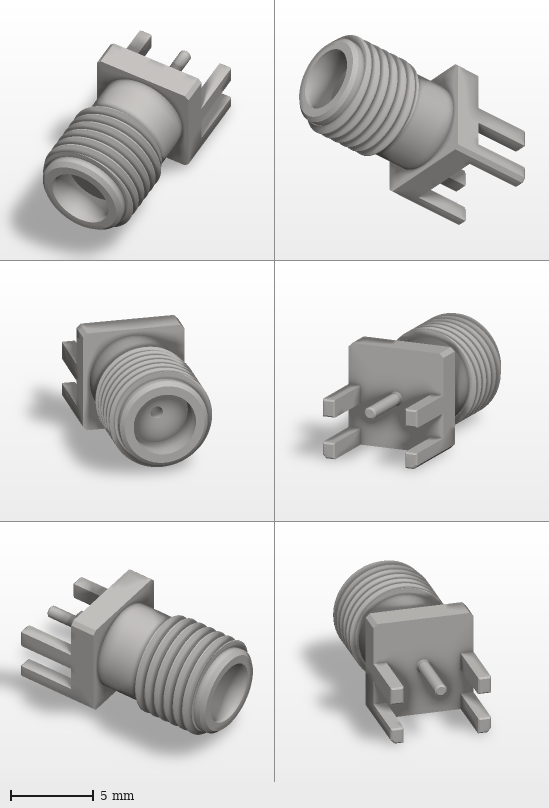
import cadquery as cq


FLANGE_SIDE = 6.35
FLANGE_THICKNESS = 1.66
FLANGE_CORNER_CHAMFER = 0.25
LEG_LENGTH = 3.81
LEG_WIDTH = 0.82
UPPER_LEG_HEIGHT = 1.1
LOWER_LEG_HEIGHT = 1.02
TIP_CHAMFER = 0.1

OVERALL_LENGTH = 13.33
BARREL_LENGTH = OVERALL_LENGTH - LEG_LENGTH
BARREL_DIAMETER = 5.5
RIM_CHAMFER = 0.25
BORE_DIAMETER = 3.9

THREAD_DIAMETER = FLANGE_SIDE
THREAD_PITCH = 0.7
THREAD_TURNS = 6
THREAD_OVERRUN_TURNS = 1
QUARTER_TURN = 0.25
THREAD_LENGTH = THREAD_TURNS * THREAD_PITCH
THREAD_TO_RIM = 0.7
THREAD_START = BARREL_LENGTH - THREAD_TO_RIM - THREAD_LENGTH
THREAD_FLAT = 0.07
THREAD_EMBED = 0.03

INSULATOR_RECESS = 2.05
CONTACT_DIAMETER = 1.4
TAIL_DIAMETER = 0.76
SOCKET_DIAMETER = 0.76
SOCKET_DEPTH = 2.5
TAPER_LENGTH = 0.5
TAPER_OVERHANG = 0.11
INSULATOR_LENGTH = BARREL_LENGTH - INSULATOR_RECESS


def to_connector_axis(body):
    """Turn a body built along +Z so that it runs along -Y."""
    return body.rotate((0, 0, 0), (1, 0, 0), 90)


def make_flange():
    flange = cq.Workplane("XY").rect(FLANGE_SIDE, FLANGE_SIDE).extrude(FLANGE_THICKNESS)
    return flange.edges("|Z").chamfer(FLANGE_CORNER_CHAMFER)


def make_leg(side, center_height, leg_height):
    """One leg behind the flange; side is -1 or +1 along X."""
    center_x = side * (FLANGE_SIDE - LEG_WIDTH) / 2
    leg = (
        cq.Workplane("XY")
        .center(center_x, center_height)
        .rect(LEG_WIDTH, leg_height)
        .extrude(-LEG_LENGTH)
    )
    if center_height < 0:
        outer_corner = cq.selectors.NearestToPointSelector(
            (side * FLANGE_SIDE / 2, -FLANGE_SIDE / 2, -LEG_LENGTH / 2)
        )
        leg = leg.edges(outer_corner).chamfer(FLANGE_CORNER_CHAMFER)
    return leg.faces("<Z").edges().chamfer(TIP_CHAMFER)


def make_barrel():
    barrel = cq.Workplane("XY").circle(BARREL_DIAMETER / 2).extrude(BARREL_LENGTH)
    return barrel.faces(">Z").edges().chamfer(RIM_CHAMFER)


def make_thread():
    """Helical ridge, cut off square at both ends; its crest meets both end planes at the top."""
    root_radius = BARREL_DIAMETER / 2
    crest_radius = THREAD_DIAMETER / 2
    inner_radius = root_radius - THREAD_EMBED
    half_crest = THREAD_FLAT / 2
    half_root = (THREAD_PITCH - THREAD_FLAT) / 2
    flank_run = (half_root - half_crest) / (crest_radius - root_radius)
    half_base = half_root + flank_run * THREAD_EMBED

    helix_start = THREAD_START - (THREAD_OVERRUN_TURNS + QUARTER_TURN) * THREAD_PITCH
    helix_length = (THREAD_TURNS + 2 * THREAD_OVERRUN_TURNS) * THREAD_PITCH
    helix = cq.Wire.makeHelix(THREAD_PITCH, helix_length, root_radius)
    helix = helix.translate(cq.Vector(0, 0, helix_start))
    ridge = (
        cq.Workplane("XZ", origin=(0, 0, helix_start))
        .moveTo(inner_radius, -half_base)
        .lineTo(crest_radius, -half_crest)
        .lineTo(crest_radius, half_crest)
        .lineTo(inner_radius, half_base)
        .close()
        .sweep(cq.Workplane(helix), isFrenet=True)
    )
    thread_zone = (
        cq.Workplane("XY", origin=(0, 0, THREAD_START))
        .circle(THREAD_DIAMETER)
        .extrude(THREAD_LENGTH)
    )
    return ridge.intersect(thread_zone)


def make_housing():
    housing = make_flange().union(make_barrel())
    lower_leg_center = (LOWER_LEG_HEIGHT - FLANGE_SIDE) / 2
    for side in (-1, 1):
        housing = housing.union(make_leg(side, 0, UPPER_LEG_HEIGHT))
        housing = housing.union(make_leg(side, lower_leg_center, LOWER_LEG_HEIGHT))
    housing = housing.union(make_thread())
    bore = cq.Workplane("XY").circle(BORE_DIAMETER / 2).extrude(BARREL_LENGTH)
    return housing.cut(bore)


def make_contact_blank():
    """Contact without its socket: barrel, cone and chamfered solder tail."""
    contact_radius = CONTACT_DIAMETER / 2
    tail_radius = TAIL_DIAMETER / 2
    return (
        cq.Workplane("XZ")
        .moveTo(0, INSULATOR_LENGTH)
        .lineTo(contact_radius, INSULATOR_LENGTH)
        .lineTo(contact_radius, TAPER_LENGTH - TAPER_OVERHANG)
        .lineTo(tail_radius, -TAPER_OVERHANG)
        .lineTo(tail_radius, TIP_CHAMFER - LEG_LENGTH)
        .lineTo(tail_radius - TIP_CHAMFER, -LEG_LENGTH)
        .lineTo(0, -LEG_LENGTH)
        .close()
        .revolve(360, (0, 0, 0), (0, 1, 0))
    )


def make_contact():
    return make_contact_blank().faces(">Z").workplane().hole(SOCKET_DIAMETER, SOCKET_DEPTH)


def make_insulator():
    insulator = cq.Workplane("XY").circle(BORE_DIAMETER / 2).extrude(INSULATOR_LENGTH)
    return insulator.cut(make_contact_blank())


housing = to_connector_axis(make_housing())
insulator = to_connector_axis(make_insulator())
contact = to_connector_axis(make_contact())

result = cq.Compound.makeCompound([body.solids().val() for body in (housing, insulator, contact)])